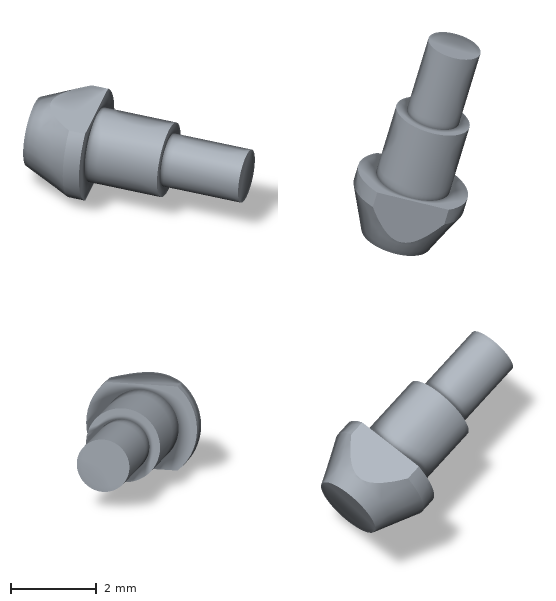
import cadquery as cq

total_length = 5.21

head_diameter = 2.67
head_height = 2.03
head_length = 1.53
nose_diameter = 1.66
cone_length = 1.135

body_diameter = 1.78
body_end = 3.305
pin_diameter = 1.265


def cylinder_along_x(diameter, start, end):
    return cq.Workplane("YZ", origin=(start, 0, 0)).circle(diameter / 2).extrude(end - start)


def make_head():
    """Revolve the cone and rim about X, then keep the part between the flats."""
    head = (
        cq.Workplane("XY")
        .moveTo(0, 0)
        .lineTo(0, nose_diameter / 2)
        .lineTo(cone_length, head_diameter / 2)
        .lineTo(head_length, head_diameter / 2)
        .lineTo(head_length, 0)
        .close()
        .revolve(360, (0, 0, 0), (1, 0, 0))
    )
    between_flats = cq.Workplane("XY").box(
        head_length, head_diameter, head_height, centered=(False, True, True)
    )
    return head.intersect(between_flats)


body = cylinder_along_x(body_diameter, head_length, body_end)
pin = cylinder_along_x(pin_diameter, body_end, total_length)

result = make_head().union(body).union(pin)